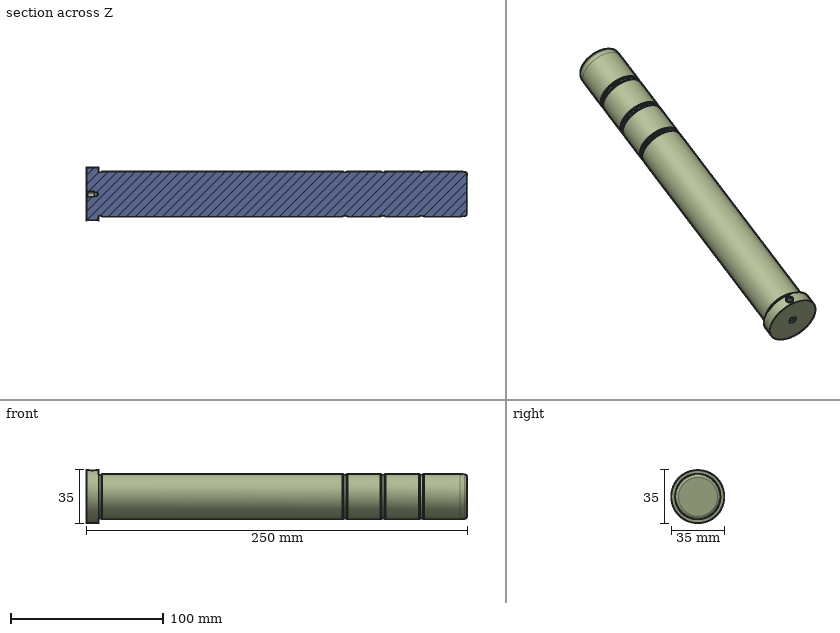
import cadquery as cq

length = 250.0
shank_radius = 15.0
head_radius = 17.5
head_thickness = 8.0

relief_length = 2.2
relief_depth = 0.5

lead_length = 5.0
lead_drop = 0.2
tip_radius = 2.0

groove_centers = (169.8, 194.8, 220.0)
groove_width = 3.5
groove_floor_width = 1.5
groove_depth = 0.5

axial_port_diameter = 3.2
port_mouth_diameter = 5.2
radial_port_x = head_thickness / 2
radial_port_diameter = 4.0
pilot_diameter = 2.2
port_depth = 5.0
pilot_depth = 7.0
pilot_tip_length = 0.8


def turned_body():
    """Revolve the headed pin around the X axis."""
    neck_radius = shank_radius - relief_depth
    relief_end = head_thickness + relief_length
    tip_start_radius = shank_radius - lead_drop
    return (
        cq.Workplane("XY")
        .moveTo(0, 0)
        .lineTo(0, head_radius)
        .lineTo(head_thickness, head_radius)
        .lineTo(head_thickness, neck_radius)
        .lineTo(relief_end - relief_depth, neck_radius)
        .lineTo(relief_end, shank_radius)
        .lineTo(length - lead_length, shank_radius)
        .lineTo(length - tip_radius, tip_start_radius)
        .radiusArc((length, tip_start_radius - tip_radius), tip_radius)
        .lineTo(length, 0)
        .close()
        .revolve(360, (0, 0, 0), (1, 0, 0))
    )


def groove(center):
    """Ring with sloping sides, cut into the shank at the given X."""
    floor_radius = shank_radius - groove_depth
    return (
        cq.Workplane("XY")
        .moveTo(center - groove_width / 2, shank_radius)
        .lineTo(center - groove_floor_width / 2, floor_radius)
        .lineTo(center + groove_floor_width / 2, floor_radius)
        .lineTo(center + groove_width / 2, shank_radius)
        .close()
        .revolve(360, (0, 0, 0), (1, 0, 0))
    )


def port(diameter, mouth, direction):
    """Countersunk blind bore, stepping down to a pilot drilling with a conical point."""
    mouth_radius = port_mouth_diameter / 2
    bore_radius = diameter / 2
    pilot_radius = pilot_diameter / 2
    countersink = cq.Solid.makeCone(
        mouth_radius, bore_radius, mouth_radius - bore_radius, mouth, direction
    )
    bore = cq.Solid.makeCylinder(bore_radius, port_depth, mouth, direction)
    pilot = cq.Solid.makeCylinder(pilot_radius, pilot_depth, mouth, direction)
    pilot_end = mouth + direction * pilot_depth
    tip = cq.Solid.makeCone(pilot_radius, 0, pilot_tip_length, pilot_end, direction)
    return bore.fuse(countersink, pilot, tip)


axial_port = port(axial_port_diameter, cq.Vector(0, 0, 0), cq.Vector(1, 0, 0))
radial_port = port(
    radial_port_diameter, cq.Vector(radial_port_x, 0, head_radius), cq.Vector(0, 0, -1)
)

result = turned_body()
for center in groove_centers:
    result = result.cut(groove(center))
result = result.cut(axial_port).cut(radial_port)